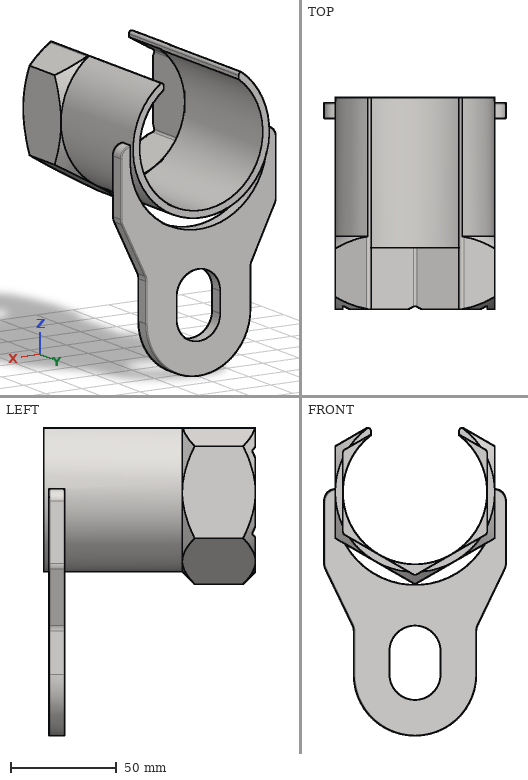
import cadquery as cq
import math

total_length = 100.0
bore_radius = 34.0
body_radius = 37.65
opening_half_width = 20.75
lip_radius = 1.5

hex_half_angle = math.pi / 6
hex_length = 34.5
hex_pocket_depth = 29.0
hex_pocket_half_width = 34.0
hex_pocket_corner_radius = 1.5

bracket_thickness = 7.5
bracket_back_gap = 2.5
bracket_half_width = 43.0
bracket_top = 1.6
bracket_shoulder_bottom = -35.0
tail_half_width = 29.0
tail_top = -64.0
tail_center = -86.0
bracket_top_corner_radius = 5.75
bracket_bend_radius = 6.0
bracket_edge_radius = 0.5
saddle_radius = 37.75
saddle_center = -6.0
slot_width = 24.0
slot_length = 35.0
slot_center = -80.5

bracket_front = total_length - bracket_back_gap - bracket_thickness
bracket_middle = bracket_front + bracket_thickness / 2


def plane_at(y):
    """XZ sketch plane at the given Y whose extrusions run toward +Y."""
    return cq.Workplane(cq.Plane(origin=(0, y, 0), xDir=(1, 0, 0), normal=(0, -1, 0)))


def make_bore():
    return plane_at(0).circle(bore_radius).extrude(-total_length)


def hexagon(half_width, length):
    """Hexagonal prism with corners up and down and two flats facing +X and -X."""
    corner_radius = half_width / math.cos(hex_half_angle)
    corners = []
    for index in range(6):
        angle = math.pi / 2 + 2 * index * hex_half_angle
        corners.append((corner_radius * math.cos(angle), corner_radius * math.sin(angle)))
    return plane_at(0).polyline(corners).close().extrude(-length)


def open_top(body):
    """Cut the full-length opening along the top."""
    cutter_height = 2 * body_radius
    cutter = (
        plane_at(0)
        .center(0, cutter_height / 2)
        .rect(2 * opening_half_width, cutter_height)
        .extrude(-total_length)
    )
    return body.cut(cutter)


def round_lips(prism):
    """Round the two outer long edges of the opening."""
    lip_rise = body_radius - opening_half_width * math.sin(hex_half_angle)
    lip_height = lip_rise / math.cos(hex_half_angle)
    for side in (-1, 1):
        lip_point = (side * opening_half_width, total_length / 2, lip_height)
        prism = prism.edges(cq.selectors.NearestToPointSelector(lip_point)).fillet(lip_radius)
    return prism


def make_body():
    """Full-length open hexagon turned down to the tube behind a chamfered head."""
    prism = round_lips(open_top(hexagon(body_radius, total_length)))
    envelope = (
        cq.Workplane("XY")
        .moveTo(0, 0)
        .lineTo(body_radius, 0)
        .lineTo(body_radius + hex_length / 2, hex_length / 2)
        .lineTo(body_radius, hex_length)
        .lineTo(body_radius, total_length)
        .lineTo(0, total_length)
        .close()
        .revolve(360, (0, 0, 0), (0, 1, 0))
    )
    return prism.intersect(envelope)


def make_hex_pocket():
    """Hexagonal recess with rounded corners, open at the front end."""
    return hexagon(hex_pocket_half_width, hex_pocket_depth).edges("|Y").fillet(hex_pocket_corner_radius)


def make_bracket():
    """Hanger plate: a wide shoulder cradling the tube, tapering to a slotted tail."""
    blank = (
        plane_at(bracket_front)
        .moveTo(-bracket_half_width, bracket_top)
        .lineTo(bracket_half_width, bracket_top)
        .lineTo(bracket_half_width, bracket_shoulder_bottom)
        .lineTo(tail_half_width, tail_top)
        .lineTo(tail_half_width, tail_center)
        .threePointArc((0, tail_center - tail_half_width), (-tail_half_width, tail_center))
        .lineTo(-tail_half_width, tail_top)
        .lineTo(-bracket_half_width, bracket_shoulder_bottom)
        .close()
        .extrude(-bracket_thickness)
    )
    top_corners = blank.edges("|Y").edges(">Z")
    blank = top_corners.fillet(bracket_top_corner_radius)
    bends = ((bracket_half_width, bracket_shoulder_bottom), (tail_half_width, tail_top))
    for side in (-1, 1):
        for bend_x, bend_z in bends:
            bend_point = (side * bend_x, bracket_middle, bend_z)
            bend_edge = blank.edges(cq.selectors.NearestToPointSelector(bend_point))
            blank = bend_edge.fillet(bracket_bend_radius)
    blank = blank.faces("<Y or >Y").edges().fillet(bracket_edge_radius)

    saddle = plane_at(bracket_front).center(0, saddle_center).circle(saddle_radius).extrude(-bracket_thickness)
    slot = (
        plane_at(bracket_front)
        .center(0, slot_center)
        .slot2D(slot_length, slot_width, 90)
        .extrude(-bracket_thickness)
    )
    return blank.cut(saddle).cut(slot)


socket = make_body().union(make_bracket())
result = socket.cut(make_bore()).cut(make_hex_pocket())